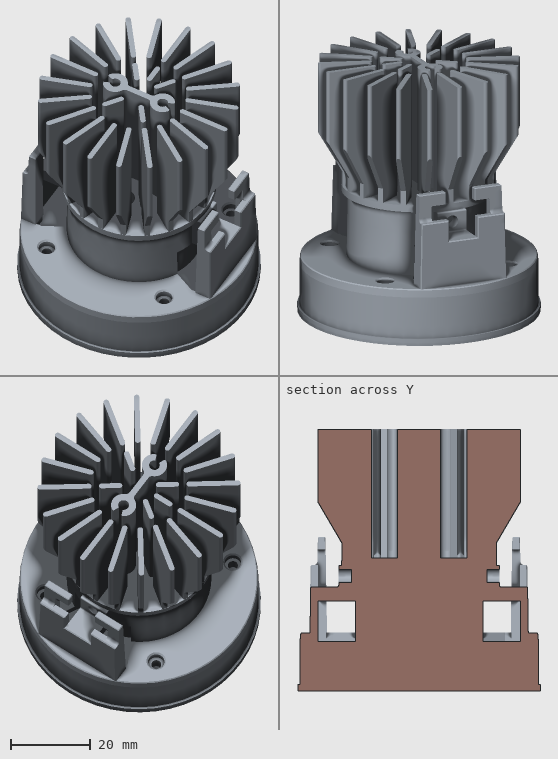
import cadquery as cq
import math

total_height = 65.5
flange_radius = 30.49
flange_height = 1.8
housing_radius = 29.95
housing_shoulder_z = 12.5
housing_rim_radius = 29.75
housing_top_z = 14.6
housing_edge_chamfer = 0.25

screw_offset = 16.9
screw_head_dia = 4.1
screw_head_depth = 1.95
screw_head_chamfer = 0.4
screw_pilot_dia = 2.5
screw_pilot_depth = 3.3
drill_point_angle = 118

neck_bottom_radius = 18.15
neck_top_radius = 17.9
neck_top_z = 31.6

recess_floor_radius = 16.05
recess_top_z = 22.5
recess_inner_distance = 13.1
recess_inner_half_width = 7.15
recess_corner_distance = 21.6
recess_corner_half_width = 11.45
recess_outer_distance = 23.2
recess_bottom_z = housing_shoulder_z

plate_radius = 19.45
plate_top_z = 33.35
fin_count = 20
fin_width = 1.4
fin_inner_radius = 11.85
fin_outer_radius = 25.4
fin_root_radius = 19.4
fin_taper_bottom_z = 37.1
fin_taper_top_z = 47.35
fin_height = total_height - plate_top_z
short_fin_outer_radius = 10.0
short_fin_inner_radius = 4.2
middle_short_fin_inner_radius = 4.65
short_fin_angles = (54, 126, 234, 306)
middle_short_fin_angle = 90

wrench_head_x = 6.8
wrench_head_radius = 3.15
wrench_bore_dia = 2.7
wrench_bar_width = 1.6
wrench_blend_radius = 1.05
wrench_mouth_inner_half = 0.6
wrench_mouth_outer_half = 1.2
wrench_mouth_start_x = 8.0
wrench_end_x = 9.5

wire_hole_dia = 5.5
wire_hole_y = -7.6
wire_hole_depth = 6.55
bowl_bottom_radius = 6.75
bowl_rim_radius = 8.8
bowl_depth = 1.95

clip_outer_bottom_x = 27.4
clip_outer_top_x = 27.1
clip_inner_bottom_x = 23.0
clip_inner_top_x = 23.4
clip_step_z = 31.5
clip_step_radius = 1.0
clip_tab_bottom_x = 25.4
clip_tab_top_x = 25.3
clip_top_z = 38.5
tab_chamfer = 0.2
clip_bottom_half_width = 11.85
clip_top_half_width = 11.25
clip_edge_chamfer = 0.25
notch_half_width = 3.9
notch_bottom_z = 26.15
window_half_width = 8.0
window_top_z = 35.4
window_corner_radius = 0.4
clip_web_inner_x = 25.3

arm_half_width = notch_half_width
arm_root_x = clip_web_inner_x
arm_outer_x = 20.2
arm_inner_x = 17.0
arm_ledge_top_z = notch_bottom_z
arm_corner_radius = 0.4
arm_hole_dia = 3.2
arm_hole_z = 28.8


def revolve_about_z(profile):
    return cq.Workplane("XZ").polyline(profile).close().revolve(360, (0, 0, 0), (0, 1, 0))


def make_housing():
    profile = [
        (0, 0),
        (flange_radius, 0),
        (flange_radius, flange_height),
        (housing_radius, flange_height),
        (housing_radius, housing_shoulder_z),
        (housing_rim_radius, housing_top_z - housing_edge_chamfer),
        (housing_rim_radius - housing_edge_chamfer, housing_top_z),
        (0, housing_top_z),
    ]
    return revolve_about_z(profile)


def make_screw_hole():
    """Chamfered screw head recess over a pilot hole with a drill-point bottom."""
    head_radius = screw_head_dia / 2
    pilot_radius = screw_pilot_dia / 2
    head_floor_z = housing_top_z - screw_head_depth
    drill_point_depth = pilot_radius / math.tan(math.radians(drill_point_angle / 2))
    pilot_floor_z = head_floor_z - screw_pilot_depth
    profile = [
        (0, housing_top_z),
        (head_radius + screw_head_chamfer, housing_top_z),
        (head_radius, housing_top_z - screw_head_chamfer),
        (head_radius, head_floor_z),
        (pilot_radius, head_floor_z),
        (pilot_radius, pilot_floor_z),
        (0, pilot_floor_z - drill_point_depth),
    ]
    return revolve_about_z(profile)


def make_neck():
    """Slightly tapered round neck."""
    return revolve_about_z([
        (0, housing_top_z),
        (neck_bottom_radius, housing_top_z),
        (neck_top_radius, neck_top_z),
        (0, neck_top_z),
    ])


def make_recess():
    """Flared recess on the -X side, ending on a round core inside the neck."""
    half_outline = [
        (-recess_inner_distance, recess_inner_half_width),
        (-recess_corner_distance, recess_corner_half_width),
        (-recess_outer_distance, recess_corner_half_width),
    ]
    mirrored_half = [(x, -y) for x, y in reversed(half_outline)]
    floor = cq.Workplane("XY", origin=(0, 0, recess_bottom_z))
    height = recess_top_z - recess_bottom_z
    flare = floor.polyline(half_outline + mirrored_half).close().extrude(height)
    core = floor.circle(recess_floor_radius).extrude(height)
    return flare.cut(core)


def make_fin(inner_radius, outer_radius, angle):
    """Radial fin with rounded ends, standing on the plate."""
    return (
        cq.Workplane("XY", origin=(0, 0, plate_top_z))
        .center((inner_radius + outer_radius) / 2, 0)
        .slot2D(outer_radius - inner_radius, fin_width)
        .extrude(fin_height)
        .rotate((0, 0, 0), (0, 0, 1), angle)
    )


def make_long_fins():
    """Ring of long fins, undercut towards the plate."""
    fins = cq.Workplane("XY")
    for index in range(fin_count):
        fins = fins.add(make_fin(fin_inner_radius, fin_outer_radius, index * 360 / fin_count))
    envelope = revolve_about_z([
        (0, plate_top_z),
        (fin_root_radius, plate_top_z),
        (fin_root_radius, fin_taper_bottom_z),
        (fin_outer_radius, fin_taper_top_z),
        (fin_outer_radius, total_height),
        (0, total_height),
    ])
    return fins.combine().intersect(envelope)


def make_short_fins():
    fins = make_fin(middle_short_fin_inner_radius, short_fin_outer_radius, middle_short_fin_angle)
    for angle in short_fin_angles:
        fins = fins.add(make_fin(short_fin_inner_radius, short_fin_outer_radius, angle))
    return fins.combine()


def make_wrench_post():
    """Post shaped like a double open-ended wrench."""
    plane = cq.Workplane("XY", origin=(0, 0, plate_top_z))
    head_centers = [(-wrench_head_x, 0), (wrench_head_x, 0)]
    bar = plane.rect(2 * wrench_head_x, wrench_bar_width).extrude(fin_height)
    heads = plane.pushPoints(head_centers).circle(wrench_head_radius).extrude(fin_height)
    post = bar.union(heads)

    bar_half = wrench_bar_width / 2
    joint_x = wrench_head_x - math.sqrt(wrench_head_radius**2 - bar_half**2)
    joint_edges = cq.selectors.BoxSelector(
        (-joint_x - 0.05, -wrench_bar_width, plate_top_z),
        (joint_x + 0.05, wrench_bar_width, total_height),
    )
    post = post.edges("|Z").edges(joint_edges).fillet(wrench_blend_radius)

    bores = plane.pushPoints(head_centers).circle(wrench_bore_dia / 2).extrude(fin_height)
    mouth = (
        plane.polyline([
            (wrench_head_x, wrench_mouth_inner_half),
            (wrench_mouth_start_x, wrench_mouth_inner_half),
            (wrench_end_x, wrench_mouth_outer_half),
            (wrench_end_x, -wrench_mouth_outer_half),
            (wrench_mouth_start_x, -wrench_mouth_inner_half),
            (wrench_head_x, -wrench_mouth_inner_half),
        ]).close().extrude(fin_height)
    )
    trimmed_length = plane.rect(2 * wrench_end_x, 2 * wrench_head_radius).extrude(fin_height)
    return post.intersect(trimmed_length).cut(bores).cut(mouth).cut(mouth.mirror("YZ"))


def make_heat_sink():
    plate = (
        cq.Workplane("XY", origin=(0, 0, neck_top_z))
        .circle(plate_radius)
        .extrude(plate_top_z - neck_top_z)
    )
    return plate.union(make_long_fins()).union(make_short_fins()).union(make_wrench_post())


def make_wire_hole():
    """Hole through the plate, its floor dished by a cone centred on the main axis."""
    floor_z = plate_top_z - wire_hole_depth
    hole = (
        cq.Workplane("XY", origin=(0, wire_hole_y, floor_z))
        .circle(wire_hole_dia / 2)
        .extrude(wire_hole_depth)
    )
    bowl_space = revolve_about_z([
        (0, floor_z),
        (bowl_bottom_radius, floor_z),
        (bowl_rim_radius, floor_z + bowl_depth),
        (plate_radius, floor_z + bowl_depth),
        (plate_radius, plate_top_z),
        (0, plate_top_z),
    ])
    return hole.intersect(bowl_space)


def make_clip_panel():
    """Upright panel on the -X side, stepped near its top and narrowing upwards."""
    panel = (
        cq.Workplane("XZ")
        .moveTo(-clip_inner_bottom_x, housing_top_z)
        .lineTo(-clip_outer_bottom_x, housing_top_z)
        .lineTo(-clip_outer_top_x, clip_step_z)
        .lineTo(-clip_tab_bottom_x - clip_step_radius, clip_step_z)
        .radiusArc((-clip_tab_bottom_x, clip_step_z + clip_step_radius), -clip_step_radius)
        .lineTo(-clip_tab_top_x, clip_top_z)
        .lineTo(-clip_inner_top_x, clip_top_z)
        .close()
        .extrude(clip_bottom_half_width, both=True)
    )
    side_outline = [
        (-clip_bottom_half_width, housing_top_z),
        (clip_bottom_half_width, housing_top_z),
        (clip_top_half_width, clip_top_z),
        (-clip_top_half_width, clip_top_z),
    ]
    taper = (
        cq.Workplane("YZ").polyline(side_outline).close()
        .extrude(-clip_outer_bottom_x)
    )
    return panel.intersect(taper)


def make_clip_opening():
    """T-shaped opening: a central notch open at the top and a wider window under the tabs."""
    thickness = clip_outer_bottom_x - clip_inner_bottom_x
    middle_x = -(clip_outer_bottom_x + clip_inner_bottom_x) / 2
    notch = (
        cq.Workplane("XY", origin=(middle_x, 0, notch_bottom_z))
        .box(thickness, 2 * notch_half_width, clip_top_z - notch_bottom_z, centered=(True, True, False))
    )
    window = (
        cq.Workplane("XY", origin=(middle_x, 0, clip_step_z))
        .box(thickness, 2 * window_half_width, window_top_z - clip_step_z, centered=(True, True, False))
        .edges("|X and >Z").fillet(window_corner_radius)
    )
    return notch.union(window)


def make_clip_hollow():
    """Space behind the web, between the two end ribs, as deep as the recess."""
    depth = clip_web_inner_x - clip_inner_bottom_x
    return (
        cq.Workplane("XY", origin=(-clip_web_inner_x + depth / 2, 0, recess_bottom_z))
        .box(depth, 2 * window_half_width, clip_step_z - recess_bottom_z, centered=(True, True, False))
    )


def make_arm():
    """L-shaped arm from the -X clip to the neck."""
    return (
        cq.Workplane("XZ")
        .moveTo(-arm_root_x, recess_top_z)
        .lineTo(-arm_root_x, arm_ledge_top_z)
        .lineTo(-arm_outer_x - arm_corner_radius, arm_ledge_top_z)
        .radiusArc((-arm_outer_x, arm_ledge_top_z + arm_corner_radius), -arm_corner_radius)
        .lineTo(-arm_outer_x, neck_top_z - arm_corner_radius)
        .radiusArc((-arm_outer_x + arm_corner_radius, neck_top_z), arm_corner_radius)
        .lineTo(-arm_inner_x, neck_top_z)
        .lineTo(-arm_inner_x, recess_top_z)
        .close()
        .extrude(arm_half_width, both=True)
    )


def make_clip():
    """Panel with its opening and hollow, its outer edges and tab edges broken, plus the arm."""
    clip = make_clip_panel().cut(make_clip_opening()).cut(make_clip_hollow())
    clip = clip.faces("<X").edges("not <Z").chamfer(clip_edge_chamfer)
    tab_edges = cq.selectors.BoxSelector(
        (-clip_outer_bottom_x, -clip_top_half_width - 0.65, (window_top_z + clip_top_z) / 2 - 0.65),
        (-clip_inner_bottom_x, clip_top_half_width + 0.65, clip_top_z + 0.65),
    )
    clip = clip.edges(tab_edges).chamfer(tab_chamfer)
    return clip.union(make_arm())


def make_arm_hole():
    return (
        cq.Workplane("YZ", origin=(-arm_outer_x, 0, arm_hole_z))
        .circle(arm_hole_dia / 2)
        .extrude(arm_outer_x - arm_inner_x)
    )


result = make_housing().union(make_neck())

recess = make_recess().union(make_clip_hollow())
result = result.cut(recess).cut(recess.mirror("YZ"))

clip = make_clip()
result = result.union(clip).union(clip.mirror("YZ"))

result = result.union(make_heat_sink())

arm_hole = make_arm_hole()
result = result.cut(arm_hole).cut(arm_hole.mirror("YZ"))

screw_hole = make_screw_hole()
for x in (-screw_offset, screw_offset):
    for y in (-screw_offset, screw_offset):
        result = result.cut(screw_hole.translate((x, y, 0)))

result = result.cut(make_wire_hole())